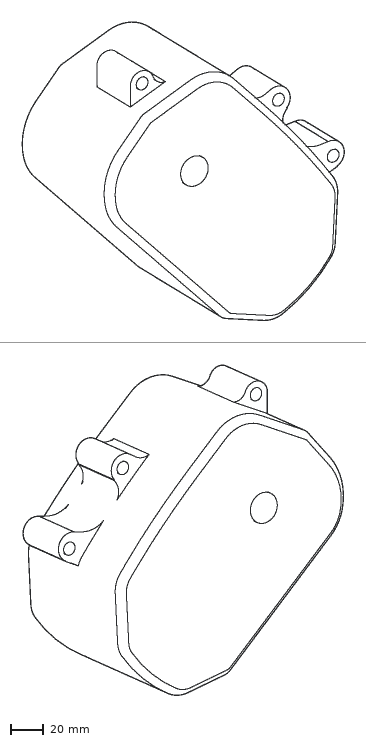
import cadquery as cq
import math

housing_width = 108.0
housing_left = -housing_width / 2
edge_chamfer = 5.0
shaft_bore_diameter = 20.0

lug_width = 40.0
lug_inset = 48.0
lug_left = housing_left + lug_inset
lug_hole_diameter = 8.5
front_tip_radius = 8.5
rear_tip_radius = 9.5

CONTINUE = None

housing_corners = [
    (17.8, 67.2, 28.0),
    (-34.8, 42.8, 8.0),
    (-66.2, 7.0, 41.0),
    (-59.4, -22.0, CONTINUE),
    (23.4, -104.8, 10.0),
    (60.6, -114.2, 20.0),
    (88.2, -99.4, CONTINUE),
    (105.0, -76.3, CONTINUE),
    (107.4, -31.8, 19.0),
    (92.3, -11.3, CONTINUE),
    (66.4, 18.6, 550.0),
]


front_hole = (-25.8, 57.0)
front_side = front_hole[0] - front_tip_radius
front_root = 40.0
front_web = [
    (*front_hole, 0),
    (-17.93, 60.2, 0),
    (-14.8, 51.9, 8.0),
    (-5.9, 55.9, 0),
    (-10.0, front_root, 0),
    (front_side, front_root, 0),
    (front_side, front_hole[1], 0),
]

middle_hole = (73.1, 25.8)
middle_tip = (72.2, 25.5)
middle_web = [
    (*middle_tip, 0),
    (67.3, 33.6, 0),
    (56.8, 27.8, 10.0),
    (49.5, 34.9, 0),
    (50.0, 15.0, 0),
    (80.0, 2.5, 0),
    (72.3, 10.7, 11.0),
    (79.6, 18.9, 0),
]

rear_hole = (112.8, -19.75)
rear_tip = (111.4, -18.8)
rear_web = [
    (*rear_tip, 0),
    (109.2, -9.5, 0),
    (92.6, -12.2, 19.0),
    (84.8, -3.0, 0),
    (85.0, -25.0, 0),
    (103.0, -33.6, 0),
    (115.8, -27.5, 0),
]


def unit_vector(start, end):
    """Direction from one point to another, and the distance between them."""
    length = math.dist(start, end)
    return ((end[0] - start[0]) / length, (end[1] - start[1]) / length), length


def along(point, direction, distance):
    return (point[0] + direction[0] * distance, point[1] + direction[1] * distance)


def rounded_prism(corners, left, width):
    """Polygon with a tangent arc at each corner of non-zero radius, extruded along +X."""
    profile = cq.Workplane("YZ", origin=(left, 0, 0))
    previous_reach = 0
    for index, (y, z, radius) in enumerate(corners):
        corner = (y, z)
        to_previous, side = unit_vector(corner, corners[index - 1][:2])
        to_next, _ = unit_vector(corner, corners[(index + 1) % len(corners)][:2])
        half_angle = math.acos(to_previous[0] * to_next[0] + to_previous[1] * to_next[1]) / 2
        if radius is CONTINUE:
            reach = side - previous_reach
            radius = reach * math.tan(half_angle)
        else:
            reach = radius / math.tan(half_angle)
            arc_start = along(corner, to_previous, reach)
            profile = profile.lineTo(*arc_start) if index else profile.moveTo(*arc_start)
        if radius > 0:
            bisector, _ = unit_vector((0, 0), along(to_previous, to_next, 1))
            arc_middle = along(corner, bisector, radius / math.sin(half_angle) - radius)
            profile = profile.threePointArc(arc_middle, along(corner, to_next, reach))
        previous_reach = reach
    return profile.close().extrude(width)


def cylinder(center, diameter, left, width):
    return cq.Workplane("YZ", origin=(left, 0, 0)).center(*center).circle(diameter / 2).extrude(width)


def housing():
    body = rounded_prism(housing_corners, housing_left, housing_width)
    return body.faces("<X or >X").chamfer(edge_chamfer)


def lug(tip, tip_radius, web):
    tip_cylinder = cylinder(tip, 2 * tip_radius, lug_left, lug_width)
    return tip_cylinder.union(rounded_prism(web, lug_left, lug_width))


result = housing()
for tip, tip_radius, web in [
    (front_hole, front_tip_radius, front_web),
    (middle_tip, rear_tip_radius, middle_web),
    (rear_tip, rear_tip_radius, rear_web),
]:
    result = result.union(lug(tip, tip_radius, web))

for hole in (front_hole, middle_hole, rear_hole):
    result = result.cut(cylinder(hole, lug_hole_diameter, lug_left, lug_width))

result = result.cut(cylinder((0, 0), shaft_bore_diameter, housing_left, housing_width))